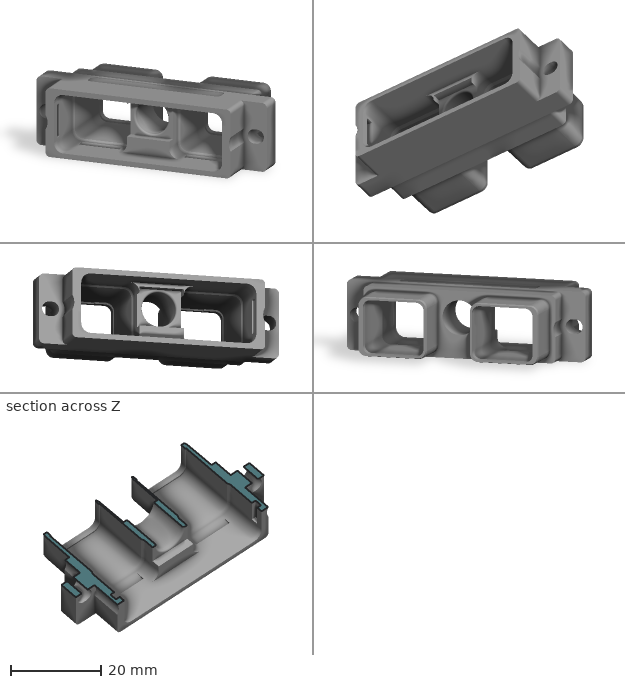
import cadquery as cq

OVERALL_LENGTH = 26.69
FRONT_Y = -OVERALL_LENGTH / 2
FLANGE_FRONT_Y = -5.6
FLANGE_REAR_Y = -0.6
BODY_REAR_Y = 4.45
TOWER_REAR_Y = OVERALL_LENGTH / 2

FLANGE_WIDTH = 55.41
FLANGE_HEIGHT = 15.93
FLANGE_RADIUS = 1.15
MOUNT_X = 25.05
MOUNT_SLOT_LENGTH = 3.9
MOUNT_SLOT_HEIGHT = 3.3
SCREW_CLEARANCE_RADIUS = 3.25

BODY_WIDTH = 44.5
REAR_BODY_HEIGHT = 15.25
BODY_RADIUS = 1.0

CAVITY_WIDTH = 40.4
CAVITY_HEIGHT = 13.54
CAVITY_RADIUS = 2.2
PILLAR_FRONT_Y = -7.65
PILLAR_WIDTH = 10.2
POCKET_WIDTH = (CAVITY_WIDTH - PILLAR_WIDTH) / 2
POCKET_X = (CAVITY_WIDTH + PILLAR_WIDTH) / 4
TAPER_FRONT_Y = -2.8
TAPER_REAR_Y = -2.05
TAPER_INSET = 0.3

LIP_THICKNESS = 1.5
LIP_FRONT_Y = TOWER_REAR_Y - LIP_THICKNESS
WINDOW_WIDTH = 14.1
WINDOW_HEIGHT = 12.15
WINDOW_RADIUS = 1.8
KEY_WIDTH = 5.5
KEY_DEPTH = 0.5

TOWER_WIDTH = 16.05
TOWER_HEIGHT = 13.56
TOWER_X = 12.96
TOWER_RADIUS = 2.0
TOWER_DRAFT_ANGLE = 0.6
TIP_LENGTH = 0.7
TIP_DRAFT_ANGLE = 14.0

RECESS_FLOOR_Y = FLANGE_FRONT_Y
RECESS_TOP_Z = 5.93
RECESS_BOTTOM_Z = -2.93
BORE_Z = 1.55
BORE_RADIUS = 3.92
BORE_LIP_RADIUS = 0.43

RAMP_FRONT_Y = FLANGE_FRONT_Y
RAMP_REAR_Y = -3.55
RAMP_WIDTH = 9.75
RAMP_DEPTH = 0.6

SIDE_SLOT_FRONT_Y = -11.8
SIDE_SLOT_REAR_Y = -10.05
SIDE_SLOT_DEPTH = 1.1
SIDE_SLOT_HEIGHT = 7.6

LABEL_LENGTH = 32.0
LABEL_WIDTH = 3.5
LABEL_Y = -3.15
LABEL_RADIUS = 1.0
LABEL_DEPTH = 0.2

SIDES = (-1, 1)


def facing_rear(y, x=0, z=0):
    """XZ sketch plane at the given Y whose normal points to +Y; sketch Y is -Z."""
    return cq.Workplane(cq.Plane(origin=(x, y, z), xDir=(1, 0, 0), normal=(0, 1, 0)))


def rounded_prism(x, width, height, radius, front_y, rear_y, draft=0):
    """Rounded rectangle centred on (x, z = 0), extruded from front_y to rear_y."""
    outline = cq.Sketch().rect(width, height).vertices().fillet(radius)
    return facing_rear(front_y, x).placeSketch(outline).extrude(rear_y - front_y, taper=draft)


def block(x_center, width, y_min, y_max, z_min, z_max):
    """Axis-aligned box centred on x_center."""
    size_y = y_max - y_min
    size_z = z_max - z_min
    center = (x_center, y_min + size_y / 2, z_min + size_z / 2)
    return cq.Workplane("XY").box(width, size_y, size_z).translate(center)


def make_tower(side):
    """Drafted housing with a more steeply drafted tip."""
    tip_y = TOWER_REAR_Y - TIP_LENGTH
    tower = rounded_prism(side * TOWER_X, TOWER_WIDTH, TOWER_HEIGHT, TOWER_RADIUS,
                          BODY_REAR_Y, tip_y, TOWER_DRAFT_ANGLE)
    tip_outline = tower.faces(">Y").wires().toPending()
    return tip_outline.workplane().extrude(TIP_LENGTH, taper=TIP_DRAFT_ANGLE)


def make_shell():
    """Outer form: flange, front and rear body and both towers."""
    shell = rounded_prism(0, FLANGE_WIDTH, FLANGE_HEIGHT, FLANGE_RADIUS, FLANGE_FRONT_Y, FLANGE_REAR_Y)
    shell = shell.union(rounded_prism(0, BODY_WIDTH, FLANGE_HEIGHT, BODY_RADIUS, FRONT_Y, FLANGE_FRONT_Y))
    shell = shell.union(rounded_prism(0, BODY_WIDTH, REAR_BODY_HEIGHT, BODY_RADIUS, FLANGE_REAR_Y, BODY_REAR_Y))
    for side in SIDES:
        shell = shell.union(make_tower(side))
    return shell


def cut_mounting(part):
    """Oblong screw holes in the flange and screw-head clearance grooves along the body sides."""
    for side in SIDES:
        x = side * MOUNT_X
        slot = facing_rear(FLANGE_FRONT_Y, x).slot2D(MOUNT_SLOT_LENGTH, MOUNT_SLOT_HEIGHT)
        part = part.cut(slot.extrude(FLANGE_REAR_Y - FLANGE_FRONT_Y))
        for start, end in ((FRONT_Y, FLANGE_FRONT_Y), (FLANGE_REAR_Y, BODY_REAR_Y)):
            groove = facing_rear(start, x).circle(SCREW_CLEARANCE_RADIUS).extrude(end - start)
            part = part.cut(groove)
    return part


def cut_pocket(part, side):
    """Pocket, tapered lead-in, tower bay, keyed lip window and floor ramp on one side."""
    x = side * POCKET_X
    part = part.cut(rounded_prism(x, POCKET_WIDTH, CAVITY_HEIGHT, CAVITY_RADIUS,
                                  PILLAR_FRONT_Y, TAPER_FRONT_Y))
    bay_width = POCKET_WIDTH - 2 * TAPER_INSET
    bay_height = CAVITY_HEIGHT - 2 * TAPER_INSET
    bay_radius = CAVITY_RADIUS - TAPER_INSET
    taper_front = cq.Sketch().rect(POCKET_WIDTH, CAVITY_HEIGHT).vertices().fillet(CAVITY_RADIUS)
    taper_rear = cq.Sketch().rect(bay_width, bay_height).vertices().fillet(bay_radius)
    taper_rear = taper_rear.moved(cq.Location(cq.Vector(0, 0, TAPER_REAR_Y - TAPER_FRONT_Y)))
    part = part.cut(facing_rear(TAPER_FRONT_Y, x).placeSketch(taper_front, taper_rear).loft())
    part = part.cut(rounded_prism(x, bay_width, bay_height, bay_radius, TAPER_REAR_Y, LIP_FRONT_Y))
    part = part.cut(rounded_prism(x, WINDOW_WIDTH, WINDOW_HEIGHT, WINDOW_RADIUS, LIP_FRONT_Y, TOWER_REAR_Y))
    part = part.cut(block(x, KEY_WIDTH, LIP_FRONT_Y, LIP_FRONT_Y + KEY_DEPTH, 0, bay_height / 2))
    floor_z = -CAVITY_HEIGHT / 2
    ramp_outline = [(RAMP_FRONT_Y, floor_z), (RAMP_REAR_Y, floor_z), (RAMP_FRONT_Y, floor_z - RAMP_DEPTH)]
    ramp = cq.Workplane("YZ", origin=(x, 0, 0)).polyline(ramp_outline).close()
    return part.cut(ramp.extrude(RAMP_WIDTH / 2, both=True))


def cut_interior(part):
    """Front cavity, both pockets, pillar recess and bore."""
    part = part.cut(rounded_prism(0, CAVITY_WIDTH, CAVITY_HEIGHT, CAVITY_RADIUS, FRONT_Y, PILLAR_FRONT_Y))
    for side in SIDES:
        part = cut_pocket(part, side)
    part = part.cut(block(0, PILLAR_WIDTH, PILLAR_FRONT_Y, RECESS_FLOOR_Y, RECESS_BOTTOM_Z, RECESS_TOP_Z))
    bore = facing_rear(RECESS_FLOOR_Y, 0, BORE_Z).circle(BORE_RADIUS).extrude(BODY_REAR_Y - RECESS_FLOOR_Y)
    part = part.cut(bore)
    rim = cq.selectors.NearestToPointSelector((0, RECESS_FLOOR_Y, BORE_Z))
    return part.edges("%CIRCLE").edges(rim).fillet(BORE_LIP_RADIUS)


def cut_side_slots(part):
    """Blind upright slots in the left and right cavity walls."""
    for side in SIDES:
        x = side * (CAVITY_WIDTH + SIDE_SLOT_DEPTH) / 2
        half_height = SIDE_SLOT_HEIGHT / 2
        part = part.cut(block(x, SIDE_SLOT_DEPTH, SIDE_SLOT_FRONT_Y, SIDE_SLOT_REAR_Y,
                              -half_height, half_height))
    return part


def cut_label(part):
    """Shallow rounded panel in the top face."""
    outline = cq.Sketch().rect(LABEL_LENGTH, LABEL_WIDTH).vertices().fillet(LABEL_RADIUS)
    floor = cq.Workplane("XY", origin=(0, LABEL_Y, FLANGE_HEIGHT / 2 - LABEL_DEPTH))
    return part.cut(floor.placeSketch(outline).extrude(LABEL_DEPTH))


result = cut_label(cut_side_slots(cut_interior(cut_mounting(make_shell()))))